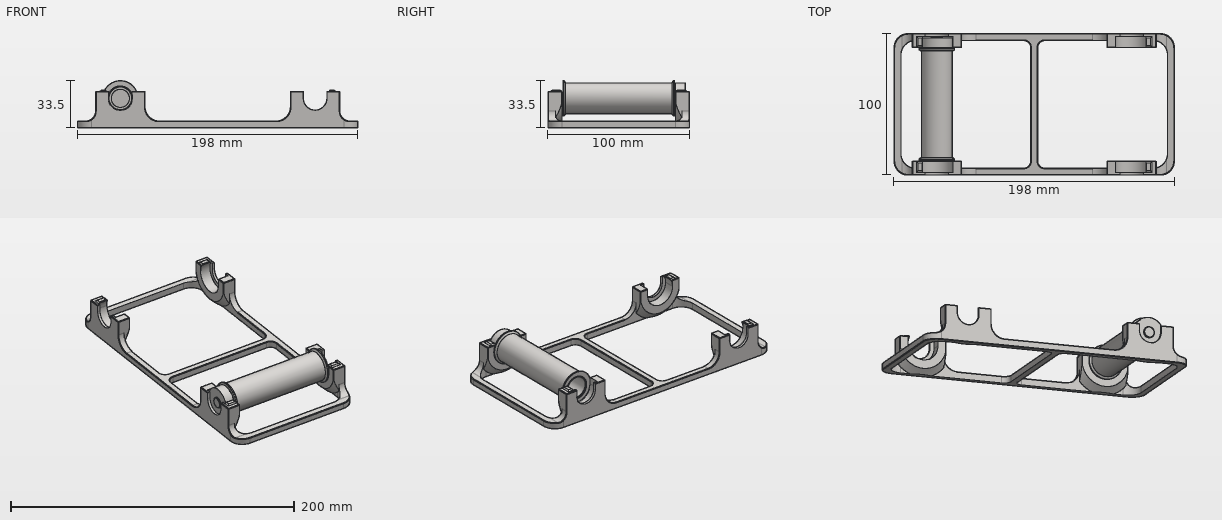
import cadquery as cq
import math

frame_length = 198.0
frame_width = 100.0
rail_width = 5.0
rail_height = 5.0
corner_radius = 10.0
web_corner_radius = 5.0
edge_chamfer = 0.5
chamfer_angle = 45.0
half_length = frame_length / 2
half_width = frame_width / 2

bracket_x = 68.75
bracket_width = 35.0
bracket_depth = 10.0
bracket_top = 26.0
above_all = 2 * bracket_top
outer_gusset_radius = 7.0
inner_gusset_radius = 10.0
bracket_half = bracket_width / 2
bracket_outer_x = bracket_x + bracket_half
bracket_inner_x = bracket_x - bracket_half
bracket_inner_y = half_width - bracket_depth
rail_inner_y = half_width - rail_width

bearing_radius = 11.0
bearing_bore_radius = 4.0
bearing_width = 7.0
axis_height = 21.0
seat_radius = 11.25
seat_depth = 8.0
lip_slot_radius = 8.25
seat_end_y = bracket_inner_y + seat_depth

catch_inner = 10.0
catch_outer = 14.5
catch_height = 0.75
catch_slope_run = 1.2
catch_setback = 0.25
catch_start_y = bracket_inner_y + catch_setback
catch_end_y = seat_end_y

tube_radius = 11.0
tube_bore_radius = 8.0
mouth_depth = 0.75
mouth_radius = 8.75
flange_radius = 12.5
flange_rim = 1.0
flange_cone = 1.0
roller_end_y = 39.5

collar_radius = 9.4
plug_depth = 10.0
plug_nose_radius = 6.4
plug_nose_length = 2.0
journal_protrusion = 1.0
journal_chamfer = 0.4


def box(x_range, y_range, z_range):
    """Box between the given limits along each axis."""
    size = [high - low for low, high in (x_range, y_range, z_range)]
    low_corner = (x_range[0], y_range[0], z_range[0])
    return cq.Workplane("XY").box(*size, centered=False).translate(low_corner)


def y_cylinder(radius, y_start, y_end):
    """Cylinder along Y on the bearing axis of the bracket at the +X, +Y corner."""
    plane = cq.Workplane("XZ", origin=(bracket_x, y_start, axis_height))
    return plane.circle(radius).extrude(y_start - y_end)


def u_channel(radius, y_start, y_end):
    """Round-bottomed channel on the bearing axis, open towards +Z."""
    x_range = (bracket_x - radius, bracket_x + radius)
    open_top = box(x_range, (y_start, y_end), (axis_height, above_all))
    return y_cylinder(radius, y_start, y_end).union(open_top)


def turned(profile, x):
    """Turn a (radius, y) profile about the bearing axis at the given X."""
    points = [(x - radius, y) for radius, y in profile]
    solid = cq.Workplane("XY").polyline(points).close().revolve(360, (x, 0), (x, 1))
    return solid.translate((0, 0, axis_height))


def four_corners(corner):
    """The +X, +Y corner shape with its mirror images at the other three corners."""
    pair = [corner, corner.mirror("YZ")]
    return pair + [shape.mirror("XZ") for shape in pair]


def frame_window():
    """The +X window between the middle bar and the end bar."""
    x_range = (rail_width / 2, half_length - rail_width)
    window = box(x_range, (-rail_inner_y, rail_inner_y), (0, bracket_top))
    window = window.edges("|Z and >X").fillet(corner_radius)
    return window.edges("|Z and <X").fillet(web_corner_radius)


def side_outline():
    """Rail and bracket silhouette along X, extruded over the whole frame width."""
    middle_of_arc = 1 - math.sqrt(0.5)
    outer_bend = outer_gusset_radius * middle_of_arc
    inner_bend = inner_gusset_radius * middle_of_arc
    half = (
        cq.Workplane("XZ", origin=(0, half_width, 0))
        .moveTo(0, 0)
        .lineTo(half_length, 0)
        .lineTo(half_length, rail_height)
        .lineTo(bracket_outer_x + outer_gusset_radius, rail_height)
        .threePointArc(
            (bracket_outer_x + outer_bend, rail_height + outer_bend),
            (bracket_outer_x, rail_height + outer_gusset_radius),
        )
        .lineTo(bracket_outer_x, bracket_top)
        .lineTo(bracket_inner_x, bracket_top)
        .lineTo(bracket_inner_x, rail_height + inner_gusset_radius)
        .threePointArc(
            (bracket_inner_x - inner_bend, rail_height + inner_bend),
            (bracket_inner_x - inner_gusset_radius, rail_height),
        )
        .lineTo(0, rail_height)
        .close()
        .extrude(frame_width)
    )
    return half.union(half.mirror("YZ"))


def bracket_boss():
    """Part of the bracket standing inside the rail, with a conical underside."""
    cone = turned(
        [
            (0, bracket_inner_y),
            (bracket_half, bracket_inner_y),
            (bracket_half + rail_width, rail_inner_y),
            (0, rail_inner_y),
        ],
        bracket_x,
    )
    x_range = (bracket_inner_x, bracket_outer_x)
    y_range = (bracket_inner_y, rail_inner_y)
    rounded = cone.intersect(box(x_range, y_range, (0, axis_height)))
    return rounded.union(box(x_range, y_range, (axis_height, bracket_top)))


def catch():
    """Sloped bump above the outer arm that reaches over the bearing."""
    x_range = (bracket_x + catch_inner, bracket_x + catch_outer)
    y_range = (catch_start_y, catch_end_y)
    base_x = (x_range[0] - catch_slope_run / 2, x_range[1])
    slope_angle = math.degrees(math.atan2(catch_slope_run, catch_height))
    bump = (
        cq.Workplane("XY", origin=(sum(base_x) / 2, sum(y_range) / 2, bracket_top))
        .rect(base_x[1] - base_x[0], y_range[1] - y_range[0])
        .extrude(catch_height, taper=slope_angle)
        .intersect(box(x_range, y_range, (bracket_top, above_all)))
    )
    overhang = box((x_range[0], bracket_x + seat_radius), y_range, (axis_height, bracket_top))
    return bump.union(overhang).cut(y_cylinder(seat_radius, *y_range))


def bracket_cut():
    """Bearing seat open to the inside, and the narrower slot through the outer lip."""
    seat = u_channel(seat_radius, bracket_inner_y, seat_end_y)
    return seat.union(u_channel(lip_slot_radius, seat_end_y, half_width))


def rounded_block():
    """Frame outline up to the bracket tops, with rounded corners and a chamfered bottom rim."""
    block = box((-half_length, half_length), (-half_width, half_width), (0, bracket_top))
    return block.edges("|Z").fillet(corner_radius).faces("<Z").chamfer(edge_chamfer)


def middle_window_trim():
    """Flared cut that breaks the top edge of the +X window between bracket and middle bar."""
    edge_z = rail_height - edge_chamfer
    outline = frame_window().faces("<Z").wires().translate((0, 0, edge_z))
    flare = outline.toPending().extrude(edge_chamfer, taper=-chamfer_angle)
    limit_x = bracket_inner_x - inner_gusset_radius
    return flare.intersect(box((0, limit_x), (-half_width, half_width), (edge_z, rail_height)))


def bracket_corner_edges(body):
    """Vertical bracket edges above the gussets."""
    low = (-frame_length, -frame_width, rail_height + inner_gusset_radius)
    high = (frame_length, frame_width, bracket_top - edge_chamfer)
    return body.edges("|Z").edges(cq.selectors.BoxSelector(low, high))


def build_frame():
    window = frame_window()
    body = rounded_block().cut(window).cut(window.mirror("YZ")).intersect(side_outline())
    for boss in four_corners(bracket_boss()):
        body = body.union(boss)
    body = body.faces(">Z").edges().add(bracket_corner_edges(body)).chamfer(edge_chamfer)
    trim = middle_window_trim()
    body = body.cut(trim).cut(trim.mirror("YZ"))
    for cut in four_corners(bracket_cut()):
        body = body.cut(cut)
    for bump in four_corners(catch()):
        body = body.union(bump)
    return body


def build_roller():
    rim_y = roller_end_y - flange_rim
    cone_y = rim_y - flange_cone
    mouth_y = roller_end_y - mouth_depth
    half_profile = [
        (tube_bore_radius, mouth_y),
        (mouth_radius, mouth_y),
        (mouth_radius, roller_end_y),
        (flange_radius, roller_end_y),
        (flange_radius, rim_y),
        (tube_radius, cone_y),
    ]
    mirrored = [(radius, -y) for radius, y in reversed(half_profile)]
    return turned(half_profile + mirrored, -bracket_x)


def build_bearing():
    outer_y = bracket_inner_y + bearing_width
    profile = [
        (bearing_bore_radius, bracket_inner_y),
        (bearing_radius, bracket_inner_y),
        (bearing_radius, outer_y),
        (bearing_bore_radius, outer_y),
    ]
    return turned(profile, -bracket_x)


def build_plug():
    plug_y = roller_end_y - plug_depth
    mouth_y = roller_end_y - mouth_depth
    tip_y = bracket_inner_y + bearing_width + journal_protrusion
    profile = [
        (0, plug_y),
        (plug_nose_radius, plug_y),
        (plug_nose_radius, plug_y + plug_nose_length),
        (tube_bore_radius, plug_y + plug_nose_length),
        (tube_bore_radius, mouth_y),
        (mouth_radius, mouth_y),
        (mouth_radius, roller_end_y),
        (collar_radius, roller_end_y),
        (collar_radius, bracket_inner_y),
        (bearing_bore_radius, bracket_inner_y),
        (bearing_bore_radius, tip_y - journal_chamfer),
        (bearing_bore_radius - journal_chamfer, tip_y),
        (0, tip_y),
    ]
    return turned(profile, -bracket_x)


frame = build_frame()
roller = build_roller()
bearing = build_bearing()
plug = build_plug()

result = cq.Compound.makeCompound([frame.val(), roller.val(), bearing.val(), plug.val()])